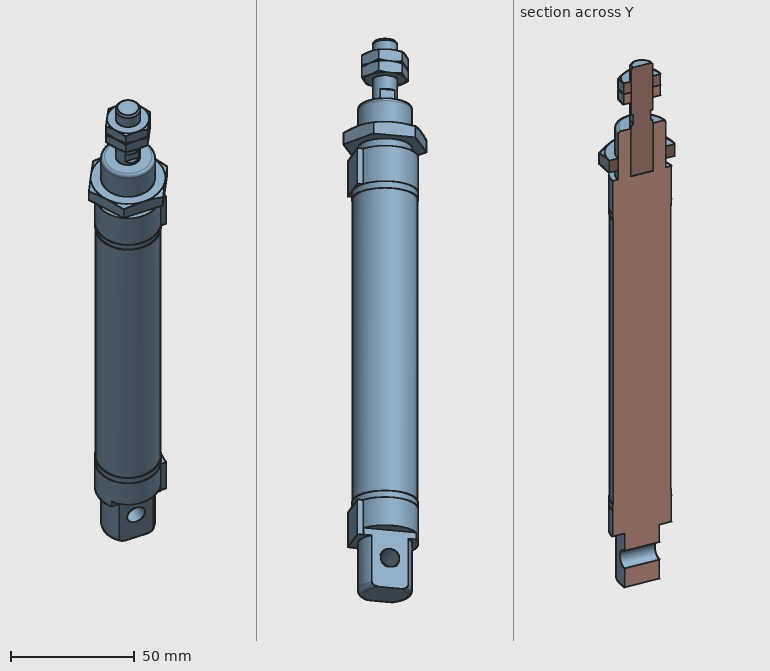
import cadquery as cq
import math

TOTAL_HEIGHT = 239.0
REAR_CAP_BOTTOM = 22.0
REAR_CAP_TOP = 37.0
REAR_CRIMP_TOP = 40.0
FRONT_CRIMP_BOTTOM = 171.0
FRONT_CAP_BOTTOM = 173.8
FRONT_CAP_TOP = 189.0
NECK_TOP = 211.0

CAP_DIAMETER = 27.0
CRIMP_DIAMETER = 26.8
TUBE_DIAMETER = 26.3
NECK_DIAMETER = 22.0
NECK_FILLET = 1.5
LUG_FILLET = 2.0
LUG_THICKNESS = 16.0
LUG_FLAT_TOP = 24.9
PIN_HOLE_DIAMETER = 8.0
PIN_HOLE_HEIGHT = 13.0
PAD_WIDTH = 15.3

ROD_DIAMETER = 10.0
ROD_TIP_DIAMETER = 8.5
ROD_TIP_HEIGHT = 1.0
ROD_FLAT_SPACING = 8.1
ROD_FLAT_BOTTOM = 213.0
ROD_FLAT_TOP = 217.0

MOUNTING_NUT_WIDTH = 30.0
MOUNTING_NUT_HEIGHT = 5.7
MOUNTING_NUT_BOTTOM = 193.0
LOCK_NUT_WIDTH = 17.0
LOCK_NUT_HEIGHT = 5.0
LOCK_NUT_BOTTOM = 222.7
LOCK_NUT_COUNT = 2
NUT_CHAMFER_ANGLE = 20.0

CAP_RADIUS = CAP_DIAMETER / 2
CRIMP_RADIUS = CRIMP_DIAMETER / 2
TUBE_RADIUS = TUBE_DIAMETER / 2
NECK_RADIUS = NECK_DIAMETER / 2
ROD_RADIUS = ROD_DIAMETER / 2


def revolve_about_axis(outline):
    """Solid of revolution about Z from a closed outline in the XZ plane."""
    return outline.revolve(360, (0, 0), (0, 1))


def disc(diameter, bottom, top):
    """Solid cylinder on the Z axis between two heights."""
    return cq.Workplane("XY").workplane(offset=bottom).circle(diameter / 2).extrude(top - bottom)


def cut_both_sides(body, cutter):
    """Cut a body with a cutter on the +X side and its mirror image on the -X side."""
    return body.cut(cutter).cut(cutter.mirror("YZ"))


def make_cap_pad(bottom, top):
    """Flat-faced pad on the +Y side of an end cap, flush with the cap's radius."""
    return (
        cq.Workplane("XY")
        .workplane(offset=bottom)
        .center(0, CAP_RADIUS / 2)
        .rect(PAD_WIDTH, CAP_RADIUS)
        .extrude(top - bottom)
    )


def make_housing():
    """Tube, end caps, front neck and rear lug in one body."""
    outline = (
        cq.Workplane("XZ")
        .lineTo(NECK_RADIUS - LUG_FILLET, 0)
        .radiusArc((NECK_RADIUS, LUG_FILLET), -LUG_FILLET)
        .lineTo(NECK_RADIUS, REAR_CAP_BOTTOM)
        .lineTo(CAP_RADIUS, REAR_CAP_BOTTOM)
        .lineTo(CAP_RADIUS, REAR_CAP_TOP)
        .lineTo(CRIMP_RADIUS, REAR_CAP_TOP)
        .lineTo(CRIMP_RADIUS, REAR_CRIMP_TOP)
        .lineTo(TUBE_RADIUS, REAR_CRIMP_TOP)
        .lineTo(TUBE_RADIUS, FRONT_CRIMP_BOTTOM)
        .lineTo(CRIMP_RADIUS, FRONT_CRIMP_BOTTOM)
        .lineTo(CRIMP_RADIUS, FRONT_CAP_BOTTOM)
        .lineTo(CAP_RADIUS, FRONT_CAP_BOTTOM)
        .lineTo(CAP_RADIUS, FRONT_CAP_TOP)
        .lineTo(NECK_RADIUS, FRONT_CAP_TOP)
        .lineTo(NECK_RADIUS, NECK_TOP - NECK_FILLET)
        .radiusArc((NECK_RADIUS - NECK_FILLET, NECK_TOP), -NECK_FILLET)
        .lineTo(0, NECK_TOP)
        .close()
    )
    housing = revolve_about_axis(outline)
    housing = housing.union(make_cap_pad(REAR_CAP_BOTTOM, REAR_CAP_TOP))
    housing = housing.union(make_cap_pad(FRONT_CAP_BOTTOM, FRONT_CAP_TOP))
    lug_flat = (
        cq.Workplane("XY")
        .center(LUG_THICKNESS / 2 + CAP_RADIUS, 0)
        .rect(2 * CAP_RADIUS, 2 * CAP_DIAMETER)
        .extrude(LUG_FLAT_TOP)
    )
    housing = cut_both_sides(housing, lug_flat)
    pin_hole = (
        cq.Workplane("YZ")
        .center(0, PIN_HOLE_HEIGHT)
        .circle(PIN_HOLE_DIAMETER / 2)
        .extrude(CAP_RADIUS, both=True)
    )
    rod_bore = disc(ROD_DIAMETER, FRONT_CAP_TOP, NECK_TOP)
    return housing.cut(pin_hole).cut(rod_bore)


def make_rod():
    """Piston rod seated in the neck, with a chamfered tip and two wrench flats ending in 45 degree ramps."""
    tip_inset = (ROD_DIAMETER - ROD_TIP_DIAMETER) / 2
    rod = disc(ROD_DIAMETER, FRONT_CAP_TOP, TOTAL_HEIGHT)
    rod = rod.faces(">Z").chamfer(ROD_TIP_HEIGHT, tip_inset)
    flat_offset = ROD_FLAT_SPACING / 2
    flat_depth = ROD_RADIUS - flat_offset
    wrench_flat = (
        cq.Workplane("XZ")
        .polyline([
            (flat_offset, ROD_FLAT_TOP),
            (flat_offset, ROD_FLAT_BOTTOM),
            (ROD_RADIUS, ROD_FLAT_BOTTOM - flat_depth),
            (ROD_RADIUS, ROD_FLAT_TOP),
        ])
        .close()
        .extrude(ROD_DIAMETER, both=True)
    )
    return cut_both_sides(rod, wrench_flat)


def make_nut(width, height, bore, bottom, chamfer_underside):
    """Hex nut with corners on +Y and -Y; conical chamfers start at the circle touching the flats."""
    face_radius = width / 2
    corner_radius = width / math.sqrt(3)
    drop = (corner_radius - face_radius) * math.tan(math.radians(NUT_CHAMFER_ANGLE))
    hexagon = (
        cq.Workplane("XY")
        .polygon(6, 2 * corner_radius)
        .extrude(height)
        .rotate((0, 0, 0), (0, 0, 1), 90)
    )
    if chamfer_underside:
        underside = [(face_radius, 0), (corner_radius, drop)]
    else:
        underside = [(corner_radius, 0)]
    top_side = [(corner_radius, height - drop), (face_radius, height)]
    outline = cq.Workplane("XZ").polyline([(0, 0), *underside, *top_side, (0, height)]).close()
    nut = hexagon.intersect(revolve_about_axis(outline)).cut(disc(bore, 0, height))
    return nut.translate((0, 0, bottom))


housing = make_housing()
rod = make_rod()
mounting_nut = make_nut(
    MOUNTING_NUT_WIDTH, MOUNTING_NUT_HEIGHT, NECK_DIAMETER, MOUNTING_NUT_BOTTOM, chamfer_underside=False
)
lock_nuts = []
for index in range(LOCK_NUT_COUNT):
    lock_nut_bottom = LOCK_NUT_BOTTOM + index * LOCK_NUT_HEIGHT
    lock_nuts.append(
        make_nut(LOCK_NUT_WIDTH, LOCK_NUT_HEIGHT, ROD_DIAMETER, lock_nut_bottom, chamfer_underside=True)
    )

result = cq.Compound.makeCompound(
    [housing.val(), rod.val(), mounting_nut.val(), *[nut.val() for nut in lock_nuts]]
)